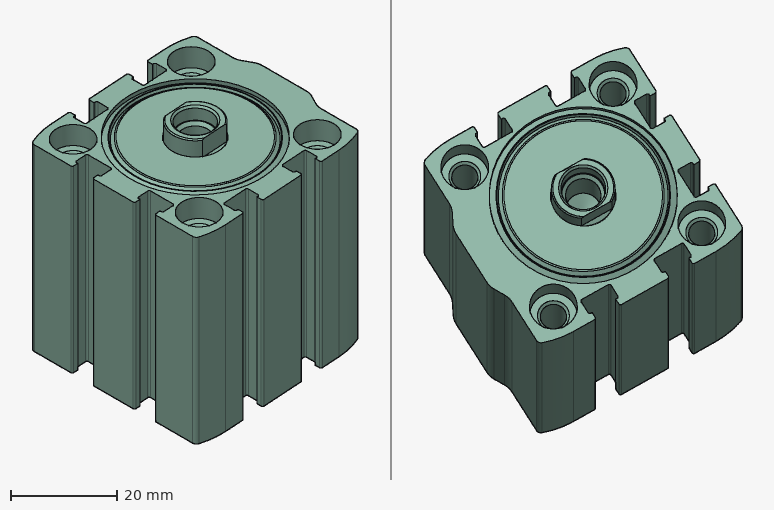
import cadquery as cq
import math

SIDE = 45.0
OVERALL_DEPTH = 47.0
HALF = SIDE / 2
TOTAL_HEIGHT = 53.5
HOUSING_HEIGHT = 49.5

FLANK_START = 15.6
FLANK_RADIUS = 18.0
CORNER_RADIUS = 1.0
PAD_TOP = OVERALL_DEPTH - HALF
PAD_HALF_BASE = 10.5
PAD_HALF_TOP = 6.65
PAD_BLEND_RADIUS = 4.0

SLOT_OFFSET = 8.0
SLOT_MOUTH = 5.2
SLOT_WIDTH = 6.55
SLOT_DEPTH = 4.7
SLOT_LIP = 1.5
SLOT_CORNER_RADIUS = 0.4

HOLE_OFFSET = 16.25
HOLE_DIAMETER = 4.9
HOLE_CHAMFER_DIAMETER = 6.0
COUNTERBORE_DIAMETER = 9.0
COUNTERBORE_DEPTH = 5.05

GROOVE_OUTER_RADIUS = 35.4 / 2
GROOVE_DEPTH = 0.95
LIP_OUTER_RADIUS = 16.4
LIP_INNER_RADIUS = 16.25
LIP_DEPTH = 0.15
NOTCH_RADIUS = 32.0 / 2
NOTCH_DEPTH = 0.7
RIM_OUTER_RADIUS = 15.25
RIM_INNER_RADIUS = 14.9
RIM_DEPTH = 0.1

ROD_DIAMETER = 12.0
ROD_RADIUS = ROD_DIAMETER / 2
ROD_CHAMFER = 0.25
ROD_BORE_DIAMETER = 12.3
ROD_SOCKET_DEPTH = 20.0
FLAT_WIDTH = 9.95
FLAT_RUNOUT_TOP = 49.1
FLAT_RUNOUT_ANGLE = 30.0
THREAD_DIAMETER = 6.65
THREAD_DEPTH = 12.0
RECESS_DIAMETER = 8.4
RECESS_DEPTH = 3.3
RECESS_CHAMFER_DIAMETER = 9.25
LEAD_IN_DIAMETER = 8.0
DRILL_TIP_ANGLE = 118.0


def edges_at(x, y):
    """Selector for the two full-height edges at (x, y) and (-x, y)."""
    reach = 0.05
    top = HOUSING_HEIGHT + reach
    right = cq.selectors.BoxSelector((x - reach, y - reach, -reach), (x + reach, y + reach, top), True)
    left = cq.selectors.BoxSelector((-x - reach, y - reach, -reach), (-x + reach, y + reach, top), True)
    return right + left


def housing_outline():
    """Extruded profile: square with curved flanks and a raised pad on the back."""
    flank_drop = FLANK_RADIUS - math.sqrt(FLANK_RADIUS**2 - (HALF - FLANK_START) ** 2)
    middle_rise = (HALF - FLANK_START) / 2
    middle_drop = FLANK_RADIUS - math.sqrt(FLANK_RADIUS**2 - middle_rise**2)
    corner_x = HALF - flank_drop
    middle = (HALF - middle_drop, FLANK_START + middle_rise)

    body = (
        cq.Workplane("XY")
        .moveTo(-corner_x, -HALF)
        .lineTo(corner_x, -HALF)
        .threePointArc((middle[0], -middle[1]), (HALF, -FLANK_START))
        .lineTo(HALF, FLANK_START)
        .threePointArc(middle, (corner_x, HALF))
        .lineTo(PAD_HALF_BASE, HALF)
        .lineTo(PAD_HALF_TOP, PAD_TOP)
        .lineTo(-PAD_HALF_TOP, PAD_TOP)
        .lineTo(-PAD_HALF_BASE, HALF)
        .lineTo(-corner_x, HALF)
        .threePointArc((-middle[0], middle[1]), (-HALF, FLANK_START))
        .lineTo(-HALF, -FLANK_START)
        .threePointArc((-middle[0], -middle[1]), (-corner_x, -HALF))
        .close()
        .extrude(HOUSING_HEIGHT)
    )

    body = body.edges(edges_at(corner_x, HALF) + edges_at(corner_x, -HALF)).fillet(CORNER_RADIUS)
    pad_edges = edges_at(PAD_HALF_BASE, HALF) + edges_at(PAD_HALF_TOP, PAD_TOP)
    return body.edges(pad_edges).fillet(PAD_BLEND_RADIUS)


def slot_cutter():
    """T-slot along the full height, opening to -Y and centred on X = 0."""
    floor_y = SLOT_DEPTH - HALF
    lip_y = SLOT_LIP - HALF
    cavity = (
        cq.Workplane("XY")
        .center(0, (floor_y + lip_y) / 2)
        .rect(SLOT_WIDTH, floor_y - lip_y)
        .extrude(HOUSING_HEIGHT)
        .edges("|Z")
        .fillet(SLOT_CORNER_RADIUS)
    )
    half_mouth = SLOT_MOUTH / 2
    flare = SLOT_CORNER_RADIUS
    mouth = (
        cq.Workplane("XY")
        .moveTo(-half_mouth, floor_y)
        .lineTo(half_mouth, floor_y)
        .lineTo(half_mouth, flare - HALF)
        .radiusArc((half_mouth + flare, -HALF), -flare)
        .lineTo(-half_mouth - flare, -HALF)
        .radiusArc((-half_mouth, flare - HALF), -flare)
        .close()
        .extrude(HOUSING_HEIGHT)
    )
    return cavity.union(mouth)


def mounting_hole_cutter():
    """Counterbored, chamfered through hole on the Z axis."""
    hole_radius = HOLE_DIAMETER / 2
    chamfer_radius = HOLE_CHAMFER_DIAMETER / 2
    counterbore_radius = COUNTERBORE_DIAMETER / 2
    floor_z = HOUSING_HEIGHT - COUNTERBORE_DEPTH
    return (
        cq.Workplane("XZ")
        .polyline([
            (0, 0),
            (hole_radius, 0),
            (hole_radius, floor_z - (chamfer_radius - hole_radius)),
            (chamfer_radius, floor_z),
            (counterbore_radius, floor_z),
            (counterbore_radius, HOUSING_HEIGHT),
            (0, HOUSING_HEIGHT),
        ])
        .close()
        .revolve(360, (0, 0, 0), (0, 1, 0))
    )


def ring_groove_cutter():
    """Stepped ring groove between the housing wall and the end cap."""
    top = HOUSING_HEIGHT
    return (
        cq.Workplane("XZ")
        .polyline([
            (GROOVE_OUTER_RADIUS, top),
            (GROOVE_OUTER_RADIUS, top - GROOVE_DEPTH),
            (LIP_OUTER_RADIUS, top - LIP_DEPTH),
            (LIP_INNER_RADIUS, top - LIP_DEPTH),
            (NOTCH_RADIUS, top - NOTCH_DEPTH),
            (RIM_OUTER_RADIUS, top - RIM_DEPTH),
            (RIM_INNER_RADIUS, top),
        ])
        .close()
        .revolve(360, (0, 0, 0), (0, 1, 0))
    )


def make_housing():
    housing = housing_outline()
    for side_angle in (-90, 0, 90):
        for offset in (-SLOT_OFFSET, SLOT_OFFSET):
            slot = slot_cutter().translate((offset, 0, 0))
            housing = housing.cut(slot.rotate((0, 0, 0), (0, 0, 1), side_angle))
    for x in (-HOLE_OFFSET, HOLE_OFFSET):
        for y in (-HOLE_OFFSET, HOLE_OFFSET):
            housing = housing.cut(mounting_hole_cutter().translate((x, y, 0)))
    housing = housing.cut(ring_groove_cutter())
    rod_socket = (
        cq.Workplane("XY")
        .workplane(offset=HOUSING_HEIGHT - ROD_SOCKET_DEPTH)
        .circle(ROD_BORE_DIAMETER / 2)
        .extrude(ROD_SOCKET_DEPTH)
    )
    return housing.cut(rod_socket)


def threaded_hole_cutter():
    """Recessed blind hole with a drill tip, opening at the rod end."""
    thread_radius = THREAD_DIAMETER / 2
    recess_radius = RECESS_DIAMETER / 2
    lead_in_radius = LEAD_IN_DIAMETER / 2
    chamfer_radius = RECESS_CHAMFER_DIAMETER / 2
    tip_height = thread_radius / math.tan(math.radians(DRILL_TIP_ANGLE / 2))
    top = TOTAL_HEIGHT
    return (
        cq.Workplane("XZ")
        .polyline([
            (0, top),
            (chamfer_radius, top),
            (recess_radius, top - (chamfer_radius - recess_radius)),
            (recess_radius, top - RECESS_DEPTH),
            (lead_in_radius, top - RECESS_DEPTH),
            (thread_radius, top - RECESS_DEPTH - (lead_in_radius - thread_radius)),
            (thread_radius, top - THREAD_DEPTH),
            (0, top - THREAD_DEPTH - tip_height),
        ])
        .close()
        .revolve(360, (0, 0, 0), (0, 1, 0))
    )


def wrench_flat_cutter():
    """Removes the rod beyond the +X flat, with a sloping run-out below."""
    flat_x = FLAT_WIDTH / 2
    outer_x = ROD_DIAMETER
    runout_drop = (outer_x - flat_x) * math.tan(math.radians(FLAT_RUNOUT_ANGLE))
    return (
        cq.Workplane("XZ")
        .polyline([
            (flat_x, TOTAL_HEIGHT),
            (flat_x, FLAT_RUNOUT_TOP),
            (outer_x, FLAT_RUNOUT_TOP - runout_drop),
            (outer_x, TOTAL_HEIGHT),
        ])
        .close()
        .extrude(ROD_DIAMETER, both=True)
    )


def make_piston_rod():
    bottom = HOUSING_HEIGHT - ROD_SOCKET_DEPTH
    rod = (
        cq.Workplane("XY")
        .workplane(offset=bottom)
        .circle(ROD_RADIUS)
        .extrude(TOTAL_HEIGHT - bottom)
        .faces(">Z")
        .chamfer(ROD_CHAMFER)
    )
    flat = wrench_flat_cutter()
    rod = rod.cut(flat).cut(flat.mirror("YZ"))
    return rod.cut(threaded_hole_cutter())


housing = make_housing()
piston_rod = make_piston_rod()
result = cq.Compound.makeCompound([housing.val(), piston_rod.val()])